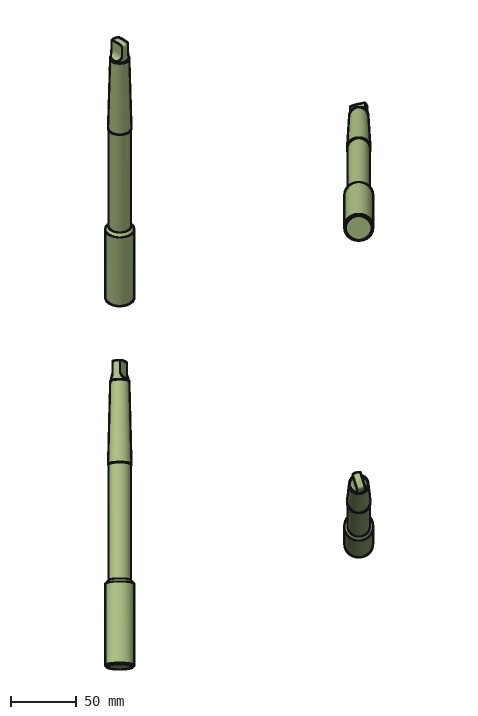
import cadquery as cq
import math

total_length = 237.0
collar_diameter = 22.0
shaft_diameter = 17.0

collar_shoulder_z = 66.8
collar_shoulder_height = 2.8
collar_bottom_chamfer = 1.2

taper_length = 80.5
taper_large_diameter = 18.0
taper_large_end_chamfer = 0.5
taper_ratio = 1 / 20

tang_length = 15.6
tang_diameter = 13.5
tang_thickness = 6.5
tang_flat_length = 9.5
tang_runout_radius = 6.2
tang_end_radius = 1.7
tang_crown_height = 0.7
taper_small_end_chamfer = 0.7

collar_radius = collar_diameter / 2
shaft_radius = shaft_diameter / 2
taper_large_radius = taper_large_diameter / 2
tang_radius = tang_diameter / 2
taper_bottom_z = total_length - taper_length
tang_bottom_z = total_length - tang_length
tang_rim_z = total_length - tang_crown_height
taper_small_radius = taper_large_radius - (tang_bottom_z - taper_bottom_z) * taper_ratio / 2


def make_turned_body():
    """Revolve the collar, shaft, taper and conically crowned tang about Z."""
    end_arc_offset = tang_end_radius * math.sqrt(0.5)
    end_arc_middle = (
        tang_radius - tang_end_radius + end_arc_offset,
        tang_rim_z - tang_end_radius + end_arc_offset,
    )
    return (
        cq.Workplane("XZ")
        .moveTo(0, 0)
        .lineTo(collar_radius - collar_bottom_chamfer, 0)
        .lineTo(collar_radius, collar_bottom_chamfer)
        .lineTo(collar_radius, collar_shoulder_z - collar_shoulder_height)
        .lineTo(shaft_radius, collar_shoulder_z)
        .lineTo(shaft_radius, taper_bottom_z)
        .lineTo(taper_large_radius - taper_large_end_chamfer / 2, taper_bottom_z)
        .lineTo(taper_large_radius, taper_bottom_z + taper_large_end_chamfer)
        .lineTo(taper_small_radius, tang_bottom_z - taper_small_end_chamfer)
        .lineTo(tang_radius, tang_bottom_z)
        .lineTo(tang_radius, tang_rim_z - tang_end_radius)
        .threePointArc(end_arc_middle, (tang_radius - tang_end_radius, tang_rim_z))
        .lineTo(0, total_length)
        .close()
        .revolve(360, (0, 0), (0, 1))
    )


def make_flat_cutter():
    """Make the +Y flat cutter, whose lower end runs out in a concave arc."""
    flat_y = tang_thickness / 2
    flat_bottom_z = total_length - tang_flat_length
    arc_offset = tang_runout_radius * math.sqrt(0.5)
    arc_center_y = flat_y + tang_runout_radius
    arc_middle = (arc_center_y - arc_offset, flat_bottom_z - arc_offset)
    return (
        cq.Workplane("YZ")
        .moveTo(flat_y, total_length)
        .lineTo(flat_y, flat_bottom_z)
        .threePointArc(arc_middle, (arc_center_y, flat_bottom_z - tang_runout_radius))
        .lineTo(arc_center_y, total_length)
        .close()
        .extrude(tang_diameter, both=True)
    )


flat_cutter = make_flat_cutter()
result = make_turned_body().cut(flat_cutter).cut(flat_cutter.mirror("XZ"))